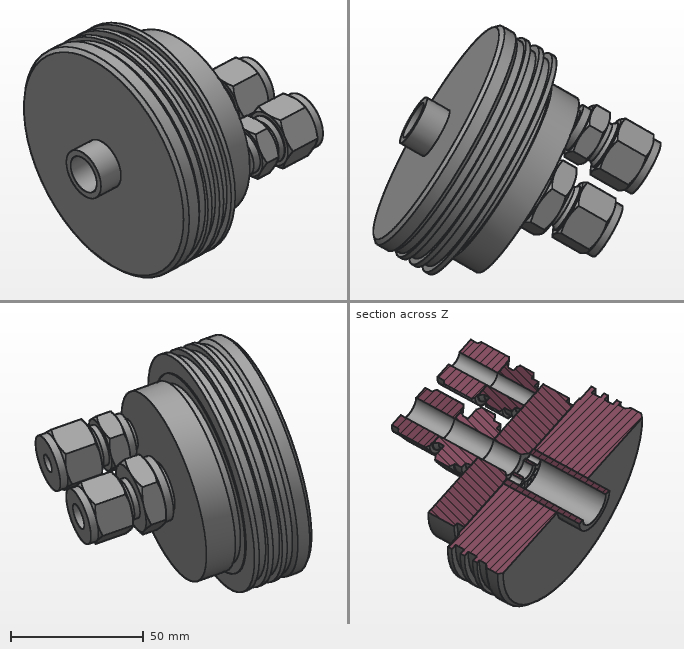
import cadquery as cq
import math


PISTON_RADIUS = 47.5
PISTON_FRONT_RADIUS = 46.0
GROOVE_RADIUS = 45.0
FRONT_CHAMFER_DEPTH = 1.5
RIM_BACK_Y = 6.5
WAIST_START_Y = 8.0
FIRST_RING_Y = 10.9
RING_THICKNESS = 2.0
GROOVE_WIDTH = 3.8
RING_PITCH = RING_THICKNESS + GROOVE_WIDTH
RING_COUNT = 3
BOSS_RADIUS = 40.0
BOSS_HEIGHT = 0.5
PISTON_BACK_Y = FIRST_RING_Y + (RING_COUNT - 1) * RING_PITCH + RING_THICKNESS
BOSS_BACK_Y = PISTON_BACK_Y + BOSS_HEIGHT

NECK_RADIUS = 36.0
NECK_LENGTH = 3.0
PLATE_RADIUS = 38.0
PLATE_THICKNESS = 12.1
PLATE_FRONT_Y = BOSS_BACK_Y + NECK_LENGTH
PLATE_BACK_Y = PLATE_FRONT_Y + PLATE_THICKNESS

FEED_BORE_RADIUS = 5.0

NOZZLE_RADIUS = 10.0
NOZZLE_BORE_RADIUS = 7.5
NOZZLE_PROJECTION = 10.0
FLOOR_THICKNESS = 5.0
FLOOR_FRONT_Y = BOSS_BACK_Y - FLOOR_THICKNESS
CENTRE_HOLE_RADIUS = 3.2
CENTRE_HOLE_CHAMFER = 0.8
JET_COUNT = 8
JET_RADIUS = 1.3
JET_CIRCLE_RADIUS = 6.0

RELIEF_LENGTH = 2.0
RELIEF_TAPER = 0.5
COLLAR_LENGTH = 3.2
NECK_GAP_LENGTH = 2.3
FLARE_LENGTH = 1.6
FLARE_RIM_LENGTH = 0.4
FITTING_NECK_RADIUS = 8.1
FLARE_RADIUS = 9.5
NUT_ACROSS_FLATS = 22.2
NUT_HEX_LENGTH = 14.4
NUT_END_LENGTH = 3.1
HEX_CHAMFER_ANGLE = 30.0

CENTRE_RELIEF_RADIUS = 10.4
CENTRE_COLLAR_RADIUS = 12.9
CENTRE_ACROSS_FLATS = 27.0
CENTRE_HEX_LENGTH = 8.5
CENTRE_TURN = 0.7

SIDE_X = 29.0
SIDE_BORE_RADIUS = 3.5
SIDE_RELIEF_RADIUS = 6.5
SIDE_SHANK_LENGTH = 0.5
SIDE_COLLAR_RADIUS = 8.9
SIDE_ACROSS_FLATS = 20.5
SIDE_HEX_LENGTH = 7.7
SIDE_TURN = -3.5


def turned(profile):
    """Solid of revolution about Y from (radius, y) points."""
    return cq.Workplane("XY").polyline(profile).close().revolve(360, (0, 0, 0), (0, 1, 0))


def cylinder(radius, start_y, end_y):
    return cq.Workplane("XZ", origin=(0, start_y, 0)).circle(radius).extrude(start_y - end_y)


def chamfered_hex(across_flats, start_y, end_y):
    """Hexagonal prism with both ends turned down to the flats and two corners on the X axis."""
    flat_radius = across_flats / 2
    corner_radius = flat_radius / math.cos(math.radians(30))
    chamfer_depth = (corner_radius - flat_radius) * math.tan(math.radians(HEX_CHAMFER_ANGLE))
    prism = (
        cq.Workplane("XZ", origin=(0, start_y, 0))
        .polygon(6, 2 * corner_radius)
        .extrude(start_y - end_y)
    )
    envelope = turned([
        (0, start_y),
        (flat_radius, start_y),
        (corner_radius, start_y + chamfer_depth),
        (corner_radius, end_y - chamfer_depth),
        (flat_radius, end_y),
        (0, end_y),
    ])
    return prism.intersect(envelope)


def make_piston():
    profile = [
        (0, 0),
        (PISTON_FRONT_RADIUS, 0),
        (PISTON_RADIUS, FRONT_CHAMFER_DEPTH),
        (PISTON_RADIUS, RIM_BACK_Y),
        (PISTON_FRONT_RADIUS, WAIST_START_Y),
        (PISTON_FRONT_RADIUS, FIRST_RING_Y),
        (GROOVE_RADIUS, FIRST_RING_Y),
        (GROOVE_RADIUS, PISTON_BACK_Y),
        (0, PISTON_BACK_Y),
    ]
    piston = turned(profile)
    for index in range(RING_COUNT):
        ring_y = FIRST_RING_Y + index * RING_PITCH
        piston = piston.union(cylinder(PISTON_RADIUS, ring_y, ring_y + RING_THICKNESS))
    piston = piston.union(cylinder(BOSS_RADIUS, PISTON_BACK_Y, BOSS_BACK_Y))
    return piston.cut(cylinder(NOZZLE_RADIUS, 0, BOSS_BACK_Y))


def make_back_plate():
    neck = cylinder(NECK_RADIUS, BOSS_BACK_Y, PLATE_FRONT_Y)
    disc = cylinder(PLATE_RADIUS, PLATE_FRONT_Y, PLATE_BACK_Y)
    funnel_depth = NOZZLE_BORE_RADIUS - FEED_BORE_RADIUS
    feed = turned([
        (0, BOSS_BACK_Y),
        (NOZZLE_BORE_RADIUS, BOSS_BACK_Y),
        (FEED_BORE_RADIUS, BOSS_BACK_Y + funnel_depth),
        (FEED_BORE_RADIUS, PLATE_BACK_Y),
        (0, PLATE_BACK_Y),
    ])
    return neck.union(disc).cut(feed)


def make_nozzle():
    nozzle = turned([
        (NOZZLE_BORE_RADIUS, -NOZZLE_PROJECTION),
        (NOZZLE_RADIUS, -NOZZLE_PROJECTION),
        (NOZZLE_RADIUS, BOSS_BACK_Y),
        (CENTRE_HOLE_RADIUS, BOSS_BACK_Y),
        (CENTRE_HOLE_RADIUS, FLOOR_FRONT_Y + CENTRE_HOLE_CHAMFER),
        (CENTRE_HOLE_RADIUS + CENTRE_HOLE_CHAMFER, FLOOR_FRONT_Y),
        (NOZZLE_BORE_RADIUS, FLOOR_FRONT_Y),
    ])
    jet = cylinder(JET_RADIUS, FLOOR_FRONT_Y, BOSS_BACK_Y).translate((JET_CIRCLE_RADIUS, 0, 0))
    for index in range(JET_COUNT):
        nozzle = nozzle.cut(jet.rotate((0, 0, 0), (0, 1, 0), index * 360 / JET_COUNT))
    return nozzle


def make_fitting_body(relief_radius, collar_radius, across_flats, hex_length, bore_radius, shank_length=0):
    shank_radius = relief_radius - RELIEF_TAPER
    collar_y = PLATE_BACK_Y + RELIEF_LENGTH
    hex_y = collar_y + COLLAR_LENGTH
    neck_y = hex_y + hex_length
    flare_y = neck_y + NECK_GAP_LENGTH
    rim_y = flare_y + FLARE_LENGTH
    end_y = rim_y + FLARE_RIM_LENGTH
    core = turned([
        (0, PLATE_BACK_Y + shank_length),
        (shank_radius, PLATE_BACK_Y + shank_length),
        (relief_radius, collar_y),
        (collar_radius, collar_y),
        (collar_radius, hex_y),
        (FITTING_NECK_RADIUS, hex_y),
        (FITTING_NECK_RADIUS, flare_y),
        (FLARE_RADIUS, rim_y),
        (FLARE_RADIUS, end_y),
        (0, end_y),
    ])
    body = core.union(chamfered_hex(across_flats, hex_y, neck_y))
    if shank_length:
        body = body.union(cylinder(shank_radius, PLATE_BACK_Y, PLATE_BACK_Y + shank_length))
    return body.cut(cylinder(bore_radius, PLATE_BACK_Y, end_y))


def make_nut(body_hex_length, bore_radius):
    body_hex_end_y = PLATE_BACK_Y + RELIEF_LENGTH + COLLAR_LENGTH + body_hex_length
    hex_y = body_hex_end_y + NECK_GAP_LENGTH + FLARE_LENGTH + FLARE_RIM_LENGTH
    collar_y = hex_y + NUT_HEX_LENGTH
    end_y = collar_y + NUT_END_LENGTH
    nut = chamfered_hex(NUT_ACROSS_FLATS, hex_y, collar_y)
    nut = nut.union(cylinder(NUT_ACROSS_FLATS / 2, collar_y, end_y))
    return nut.cut(cylinder(bore_radius, hex_y, end_y))


def placed(fitting_part, turn, x):
    """Turn a fitting part about its own axis, then move it along X."""
    return fitting_part.rotate((0, 0, 0), (0, 1, 0), turn).translate((x, 0, 0))


piston = make_piston()
back_plate = make_back_plate()
nozzle = make_nozzle()

centre_body = placed(
    make_fitting_body(
        CENTRE_RELIEF_RADIUS, CENTRE_COLLAR_RADIUS, CENTRE_ACROSS_FLATS, CENTRE_HEX_LENGTH, FEED_BORE_RADIUS
    ),
    CENTRE_TURN,
    0,
)
centre_nut = placed(make_nut(CENTRE_HEX_LENGTH, FEED_BORE_RADIUS), CENTRE_TURN, 0)

side_body = placed(
    make_fitting_body(
        SIDE_RELIEF_RADIUS,
        SIDE_COLLAR_RADIUS,
        SIDE_ACROSS_FLATS,
        SIDE_HEX_LENGTH,
        SIDE_BORE_RADIUS,
        SIDE_SHANK_LENGTH,
    ),
    SIDE_TURN,
    SIDE_X,
)
side_nut = placed(make_nut(SIDE_HEX_LENGTH, SIDE_BORE_RADIUS), SIDE_TURN, SIDE_X)

result = cq.Compound.makeCompound([
    piston.val(),
    back_plate.val(),
    nozzle.val(),
    centre_body.val(),
    centre_nut.val(),
    side_body.val(),
    side_nut.val(),
])